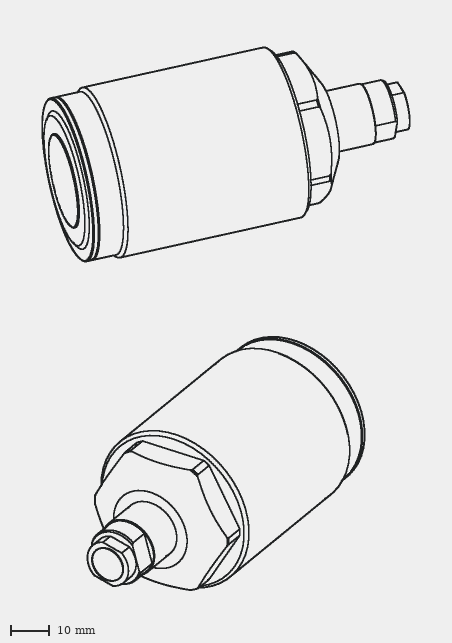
import cadquery as cq
import math


cap_radius = 21.5
cap_face_y = 1.2
cap_edge_chamfer = 0.3
nose_base_radius = 18.2
nose_top_radius = 17.1
nose_face_y = 0.4
disc_radius = 12.4
disc_edge_chamfer = 0.3
joint_y = 2.8
joint_chamfer = 0.2

barrel_radius = 22.45
barrel_front_y = 10.3
barrel_rear_y = 60.1
barrel_chamfer = 0.9
barrel_front_shoulder = barrel_radius - cap_radius

hex_sides = 6
hex_across_flats = 36.0
hex_corner_radius = 20.2
hex_rear_y = 71.1
hex_rear_radius = 11.1
hex_corner_break = 0.2
hex_corner_break_length = 0.5
hex_cone_angle = 30

connector_turn = 16
step_flat_turn = 60
stem_radius = 8.0
stem_rear_y = 82.1
stem_chamfer = 0.2
collar_radius = 7.7
collar_across_flats = 12.9
collar_rear_y = 88.0
collar_chamfer_length = 0.55
collar_chamfer_depth = 0.3
tip_radius = 6.3
tip_across_flats = 11.0
tip_rear_y = 92.0
tip_shoulder_y = 91.7
tip_boss_radius = 4.7


def revolve_about_y(profile):
    """Solid of revolution from (radius, y) points of a closed half section."""
    return cq.Workplane("XY").polyline(profile).close().revolve(360, (0, 0, 0), (0, 1, 0))


def two_flats(across_flats, front_y, rear_y, turn):
    """Slab whose two faces are the flats; with no turn they face -X and +X."""
    slab_width = 2 * stem_radius
    length = rear_y - front_y
    slab = cq.Workplane("XY").box(across_flats, length, slab_width)
    return slab.translate((0, front_y + length / 2, 0)).rotate((0, 0, 0), (0, 1, 0), turn)


def make_cap():
    return revolve_about_y([
        (0, 0),
        (disc_radius - disc_edge_chamfer, 0),
        (disc_radius, disc_edge_chamfer),
        (disc_radius, nose_face_y),
        (nose_top_radius, nose_face_y),
        (nose_base_radius, cap_face_y),
        (cap_radius - cap_edge_chamfer, cap_face_y),
        (cap_radius, cap_face_y + cap_edge_chamfer),
        (cap_radius, joint_y - joint_chamfer),
        (cap_radius - joint_chamfer, joint_y),
        (0, joint_y),
    ])


def make_barrel():
    return revolve_about_y([
        (0, joint_y),
        (cap_radius - joint_chamfer, joint_y),
        (cap_radius, joint_y + joint_chamfer),
        (cap_radius, barrel_front_y - barrel_front_shoulder),
        (barrel_radius, barrel_front_y),
        (barrel_radius, barrel_rear_y - barrel_chamfer),
        (barrel_radius - barrel_chamfer, barrel_rear_y),
        (0, barrel_rear_y),
    ])


def make_hex_end():
    """Hexagon with flats facing +Z and -Z, trimmed by a turned and coned blank."""
    length = hex_rear_y - barrel_rear_y
    across_corners = hex_across_flats / math.cos(math.pi / hex_sides)
    hexagon = (
        cq.Workplane("XZ", origin=(0, barrel_rear_y, 0))
        .polygon(hex_sides, across_corners)
        .extrude(-length)
    )
    cone_base_radius = hex_corner_radius - hex_corner_break
    cone_length = (cone_base_radius - hex_rear_radius) * math.tan(math.radians(hex_cone_angle))
    cone_base_y = hex_rear_y - cone_length
    blank = revolve_about_y([
        (0, barrel_rear_y),
        (hex_corner_radius, barrel_rear_y),
        (hex_corner_radius, cone_base_y - hex_corner_break_length),
        (cone_base_radius, cone_base_y),
        (hex_rear_radius, hex_rear_y),
        (0, hex_rear_y),
    ])
    return hexagon.intersect(blank)


def make_housing():
    return make_barrel().union(make_hex_end())


def make_connector():
    stem = revolve_about_y([
        (0, hex_rear_y),
        (stem_radius, hex_rear_y),
        (stem_radius, stem_rear_y - stem_chamfer),
        (stem_radius - stem_chamfer, stem_rear_y),
        (0, stem_rear_y),
    ])
    collar = revolve_about_y([
        (0, stem_rear_y),
        (collar_radius, stem_rear_y),
        (collar_radius, collar_rear_y - collar_chamfer_length),
        (collar_radius - collar_chamfer_depth, collar_rear_y),
        (0, collar_rear_y),
    ])
    tip = revolve_about_y([
        (0, collar_rear_y),
        (tip_radius, collar_rear_y),
        (tip_radius, tip_shoulder_y),
        (tip_boss_radius, tip_shoulder_y),
        (tip_boss_radius, tip_rear_y),
        (0, tip_rear_y),
    ])
    collar = collar.intersect(
        two_flats(collar_across_flats, stem_rear_y, collar_rear_y, connector_turn)
    )
    tip = tip.intersect(
        two_flats(tip_across_flats, collar_rear_y, tip_rear_y, connector_turn + step_flat_turn)
    )
    return stem.union(collar).union(tip)


cap = make_cap()
housing = make_housing()
connector = make_connector()

result = cq.Compound.makeCompound([cap.val(), housing.val(), connector.val()])